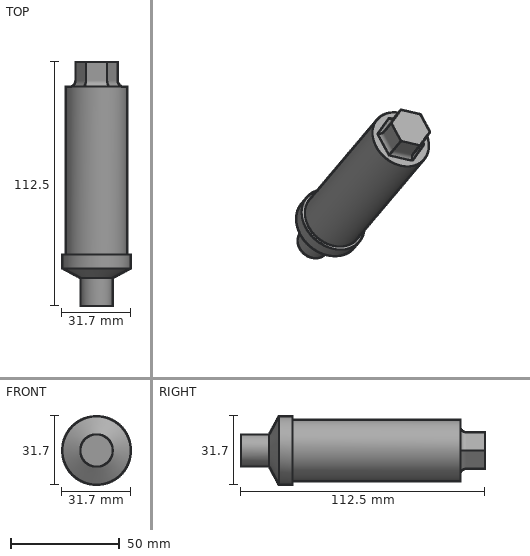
import cadquery as cq
import math

total_length = 112.5
stem_diameter = 15.0
stem_length = 12.9
cone_length = 4.5
collar_diameter = 31.7
collar_length = 6.4
body_diameter = 28.5
hex_corner_width = 19.6
hex_head_length = 11.4
root_length = 2.7
root_radius = 3.0

stem_tip = -total_length / 2
cone_start = stem_tip + stem_length
collar_start = cone_start + cone_length
body_start = collar_start + collar_length
hex_end = total_length / 2
body_end = hex_end - hex_head_length
flats_start = body_end + root_length

flat_half_width = hex_corner_width / 2 * math.cos(math.radians(30))


def root_offset(height):
    """Outward flare of a flat at a given depth below the straight flats."""
    return root_radius - math.sqrt(root_radius**2 - height**2)


def make_turned_body():
    """Stem, cone, collar and cylindrical body revolved about Y."""
    return (
        cq.Workplane("XY")
        .moveTo(0, stem_tip)
        .lineTo(stem_diameter / 2, stem_tip)
        .lineTo(stem_diameter / 2, cone_start)
        .lineTo(collar_diameter / 2, collar_start)
        .lineTo(collar_diameter / 2, body_start)
        .lineTo(body_diameter / 2, body_start)
        .lineTo(body_diameter / 2, body_end)
        .lineTo(0, body_end)
        .close()
        .revolve(360, (0, 0, 0), (0, 1, 0))
    )


def make_flat_pair(angle):
    """Slab with two opposite hexagon flats, each flaring in an arc at its root."""
    root_half_width = flat_half_width + root_offset(root_length)
    middle_half_width = flat_half_width + root_offset(root_length / 2)
    middle_y = flats_start - root_length / 2
    return (
        cq.Workplane("YZ")
        .moveTo(hex_end, -flat_half_width)
        .lineTo(hex_end, flat_half_width)
        .lineTo(flats_start, flat_half_width)
        .threePointArc((middle_y, middle_half_width), (body_end, root_half_width))
        .lineTo(body_end, -root_half_width)
        .threePointArc((middle_y, -middle_half_width), (flats_start, -flat_half_width))
        .close()
        .extrude(body_diameter, both=True)
        .rotate((0, 0, 0), (0, 1, 0), angle)
    )


def make_hex_head():
    """Hexagon with corners on X, formed where three pairs of flats overlap."""
    head = make_flat_pair(0)
    for angle in (60, 120):
        head = head.intersect(make_flat_pair(angle))
    return head


result = make_turned_body().union(make_hex_head())